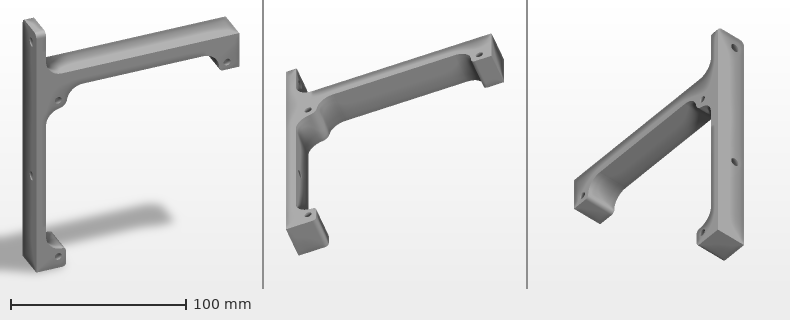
import cadquery as cq
import math

width = 19.7
depth = 126.0
height = 160.0

post_thickness = 6.0
arm_top = 130.0
arm_thickness = 10.0
arm_bottom = arm_top - arm_thickness
corner_radius = 10.0
top_round = 3.0
foot_round = 2.4

cross_hole_diameter = 4.3
hole_spacing = 105.0
hole_margin = 7.5
near_y = depth - hole_margin - hole_spacing
far_y = depth - hole_margin
low_z = hole_margin
high_z = low_z + hole_spacing
hole_wall = 5.0
boss_diameter = 11.0
boss_radius = boss_diameter / 2

mount_hole_diameter = 5.3
mount_hole_x = 2.9
mount_top_z = height - 9.0
mount_spacing = 90.0


def extrude_across(sketch):
    """Extrude a YZ sketch over the full width, centred on X = 0."""
    return sketch.extrude(width / 2, both=True)


def block(y_min, y_max, z_min, z_max):
    outline = cq.Workplane("YZ").moveTo(y_min, z_min).lineTo(y_max, z_min)
    return extrude_across(outline.lineTo(y_max, z_max).lineTo(y_min, z_max).close())


def round_edge(body, y, z, radius):
    """Round the edge along X that passes through the point (y, z)."""
    return body.edges(cq.selectors.NearestToPointSelector((0, y, z))).fillet(radius)


def make_frame():
    foot_y = near_y + hole_wall
    foot_top = low_z + hole_wall
    tip_y = far_y - hole_wall
    tip_bottom = high_z - hole_wall

    post = block(0, post_thickness, 0, height)
    arm = block(0, depth, arm_bottom, arm_top)
    foot = block(0, foot_y, 0, foot_top)
    tip = block(tip_y, depth, tip_bottom, arm_top)
    frame = post.union(arm).union(foot).union(tip)

    for y, z in [(post_thickness, arm_top), (post_thickness, foot_top), (tip_y, arm_bottom)]:
        frame = round_edge(frame, y, z, corner_radius)
    for y, z in [(foot_y, 0), (foot_y, foot_top), (tip_y, tip_bottom)]:
        frame = round_edge(frame, y, z, foot_round)
    return frame


def make_corner_boss():
    """Round boss in the inner corner, blended tangentially into post and arm."""
    reach = corner_radius + boss_radius
    post_arc_y = post_thickness + corner_radius
    post_arc_z = high_z - math.sqrt(reach**2 - (post_arc_y - near_y) ** 2)
    arm_arc_z = arm_bottom - corner_radius
    arm_arc_y = near_y + math.sqrt(reach**2 - (arm_arc_z - high_z) ** 2)

    def toward(y, z):
        """Boss surface point in the direction of (y, z)."""
        scale = boss_radius / math.hypot(y - near_y, z - high_z)
        return (near_y + (y - near_y) * scale, high_z + (z - high_z) * scale)

    def arc_middle(center_y, center_z, start, end):
        """Middle point of the short arc between two points about a centre."""
        dy = start[0] + end[0] - 2 * center_y
        dz = start[1] + end[1] - 2 * center_z
        scale = corner_radius / math.hypot(dy, dz)
        return (center_y + dy * scale, center_z + dz * scale)

    post_start = (post_thickness, post_arc_z)
    arm_end = (arm_arc_y, arm_bottom)
    boss_start = toward(post_arc_y, post_arc_z)
    boss_end = toward(arm_arc_y, arm_arc_z)
    boss_middle = toward(near_y + 1.6, high_z - 1.6)
    outline = (
        cq.Workplane("YZ")
        .moveTo(0, post_arc_z)
        .lineTo(*post_start)
        .threePointArc(arc_middle(post_arc_y, post_arc_z, post_start, boss_start), boss_start)
        .threePointArc(boss_middle, boss_end)
        .threePointArc(arc_middle(arm_arc_y, arm_arc_z, boss_end, arm_end), arm_end)
        .lineTo(arm_arc_y, arm_top)
        .lineTo(0, arm_top)
        .close()
    )
    return extrude_across(outline)


def make_cross_holes():
    centers = [(near_y, low_z), (near_y, high_z), (far_y, high_z)]
    return extrude_across(cq.Workplane("YZ").pushPoints(centers).circle(cross_hole_diameter / 2))


def make_mount_holes():
    centers = [(mount_hole_x, mount_top_z), (mount_hole_x, mount_top_z - mount_spacing)]
    circles = cq.Workplane("XZ").pushPoints(centers).circle(mount_hole_diameter / 2)
    return circles.extrude(-post_thickness)


frame = make_frame().union(make_corner_boss())
frame = frame.faces(">Z").edges("|Y").fillet(top_round)
result = frame.cut(make_cross_holes()).cut(make_mount_holes())